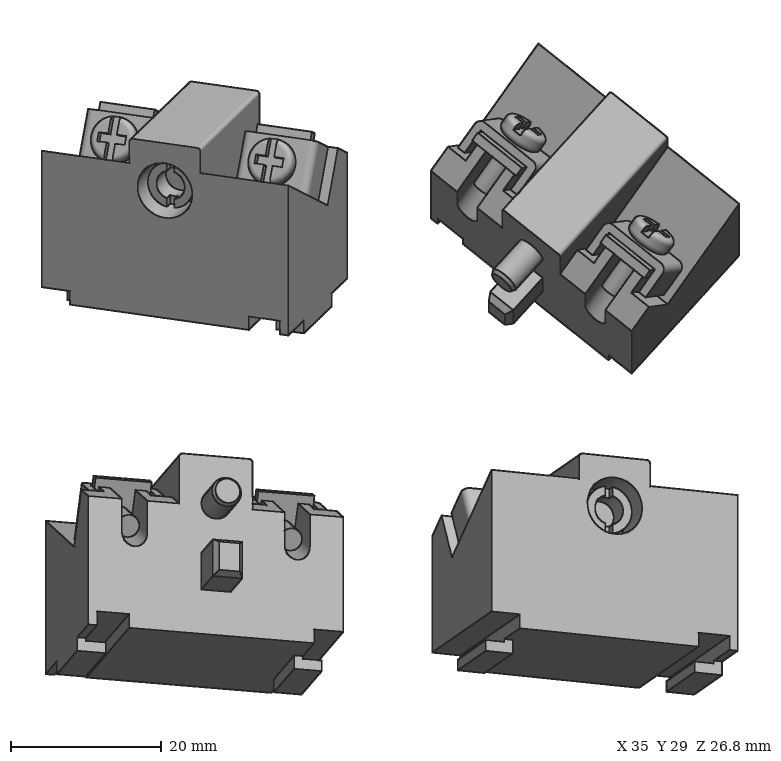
import cadquery as cq
import math

WIDTH = 35.0
DEPTH = 21.98
HEIGHT = 26.8
BASE_Z = 1.85
STEP_Z = 3.78
RIB_WIDTH = 10.08
RIB_EDGE_RADIUS = 0.5

LEFT_STEP_WIDTH = 4.02
RIGHT_NOTCH_START = 11.9
RIGHT_NOTCH_END = 16.3

CLIP_START_Y = 5.8
CLIP_LENGTH = 10.43
CLIP_FOOT_HEIGHT = 1.47
CLIP_STEM_WIDTH = WIDTH / 2 - RIGHT_NOTCH_END
LEFT_CLIP_START = -16.05
RIGHT_CLIP_START = 13.58

PEG_WIDTH = 4.02
PEG_HEIGHT = 5.1
PEG_BOTTOM_Z = 8.0
PEG_STRAIGHT = 6.02
PEG_TAPER = 1.0
PEG_TIP_INSET = 0.6

SLOPE = math.radians(29.5)
SHOULDER_FRONT_Z = 23.28
SEAT_FOOT_Y = 14.63
SEAT_HEIGHT = 7.77
TERMINAL_X = 11.15
BLOCK_WIDTH = 6.5
BLOCK_LENGTH = 2.98
CHANNEL_WIDTH = 3.5

PLATE_WIDTH = 7.7
PLATE_THICKNESS = 1.33
PLATE_RISE = 1.2

BRACKET_WIDTH = 10.4
BRACKET_HEIGHT = 7.55
BRACKET_WALL = 1.2
BRACKET_START = 0.7
BRACKET_LENGTH = 4.97
BRACKET_EDGE_RADIUS = 1.0

HEAD_DIAMETER = 6.23
HEAD_HEIGHT = 2.5
HEAD_EDGE_RADIUS = 0.75
SHANK_DIAMETER = 3.0
SHANK_START = -2.5
DRIVE_WIDTH = 1.22
DRIVE_DEPTH = 1.0
CROSS_LENGTH = 3.92

PIN_Z = 20.05
PIN_DIAMETER = 4.0
PIN_END_Y = 28.05
PIN_CHAMFER_LENGTH = 0.55
PIN_CHAMFER_INSET = 0.3
PIN_HEAD_DIAMETER = 6.45
PIN_HEAD_START_Y = 2.1
PIN_HEAD_LENGTH = 4.2
PIN_RECESS_DEPTH = 3.5
PIN_SLOT_WIDTH = 1.05
PIN_SLOT_DEPTH = 1.22
COUNTERBORE_DIAMETER = 7.77

SEAT_FOOT_Z = SHOULDER_FRONT_Z - SEAT_FOOT_Y * math.tan(SLOPE)
SEAT_TOP_Y = SEAT_FOOT_Y + SEAT_HEIGHT * math.sin(SLOPE)
SEAT_TOP_Z = SEAT_FOOT_Z + SEAT_HEIGHT * math.cos(SLOPE)
SHOULDER_REAR_Z = SEAT_TOP_Z - (DEPTH - SEAT_TOP_Y) * math.tan(SLOPE)
AXIS_Y = (SEAT_FOOT_Y + SEAT_TOP_Y) / 2
AXIS_Z = (SEAT_FOOT_Z + SEAT_TOP_Z) / 2
BRACKET_FACE = BRACKET_START + BRACKET_LENGTH
PIN_SEAT_Y = PIN_HEAD_START_Y + PIN_HEAD_LENGTH


def terminal_plane(x, distance):
    """Plane across a screw axis: local x along X, local y up off the slope, normal towards the head."""
    forward = cq.Vector(0, -math.cos(SLOPE), math.sin(SLOPE))
    return cq.Workplane(cq.Plane(cq.Vector(x, AXIS_Y, AXIS_Z) + forward * distance, (1, 0, 0), forward))


def rear_facing_plane(x, y, z):
    """Plane with its normal along +Y and its local y along Z."""
    return cq.Workplane(cq.Plane((x, y, z), (-1, 0, 0), (0, 1, 0)))


def make_core():
    half = WIDTH / 2
    outline = [
        (-half, STEP_Z),
        (-half + LEFT_STEP_WIDTH, STEP_Z),
        (-half + LEFT_STEP_WIDTH, BASE_Z),
        (RIGHT_NOTCH_START, BASE_Z),
        (RIGHT_NOTCH_START, STEP_Z),
        (RIGHT_NOTCH_END, STEP_Z),
        (RIGHT_NOTCH_END, BASE_Z),
        (half, BASE_Z),
        (half, SHOULDER_FRONT_Z),
        (-half, SHOULDER_FRONT_Z),
    ]
    core = cq.Workplane("XZ").polyline(outline).close().extrude(-DEPTH)
    rib = (
        cq.Workplane("XY", origin=(0, DEPTH / 2, STEP_Z))
        .box(RIB_WIDTH, DEPTH, HEIGHT - STEP_Z, centered=(True, True, False))
        .edges("|Y and >Z")
        .fillet(RIB_EDGE_RADIUS)
    )
    for side in (-1, 1):
        core = core.cut(make_shoulder_cut(side))
    return core.union(rib)


def make_shoulder_cut(side):
    """Space above the two slopes and the seat between them, on one side of the rib."""
    length = (WIDTH - RIB_WIDTH) / 2
    start = RIB_WIDTH / 2 if side > 0 else -WIDTH / 2
    profile = [
        (0, SHOULDER_FRONT_Z),
        (SEAT_FOOT_Y, SEAT_FOOT_Z),
        (SEAT_TOP_Y, SEAT_TOP_Z),
        (DEPTH, SHOULDER_REAR_Z),
        (DEPTH, HEIGHT),
        (0, HEIGHT),
    ]
    return cq.Workplane("YZ", origin=(start, 0, 0)).polyline(profile).close().extrude(length)


def make_block(x):
    """Block that stands out from the seat behind the terminal plate."""
    return terminal_plane(x, 0).rect(BLOCK_WIDTH, SEAT_HEIGHT).extrude(BLOCK_LENGTH)


def make_channel(x):
    """Round-bottomed channel around the screw shank, open upwards and to the rear."""
    length = DEPTH + BLOCK_LENGTH
    start = terminal_plane(x, BLOCK_LENGTH - length)
    bottom = start.circle(CHANNEL_WIDTH / 2).extrude(length)
    walls = start.center(0, SEAT_HEIGHT / 2).rect(CHANNEL_WIDTH, SEAT_HEIGHT).extrude(length)
    return bottom.union(walls)


def make_clip(foot_start, foot_end, stem_start):
    foot = cq.Workplane("XY").box(
        foot_end - foot_start, CLIP_LENGTH, CLIP_FOOT_HEIGHT, centered=False
    ).translate((foot_start, CLIP_START_Y, 0))
    stem = cq.Workplane("XY").box(
        CLIP_STEM_WIDTH, CLIP_LENGTH, BASE_Z, centered=False
    ).translate((stem_start, CLIP_START_Y, 0))
    return foot.union(stem)


def make_peg():
    shank = (
        rear_facing_plane(0, DEPTH, PEG_BOTTOM_Z + PEG_HEIGHT / 2)
        .rect(PEG_WIDTH, PEG_HEIGHT)
        .extrude(PEG_STRAIGHT)
    )
    tip = (
        shank.faces(">Y")
        .wires()
        .toPending()
        .workplane(offset=PEG_TAPER)
        .rect(PEG_WIDTH - 2 * PEG_TIP_INSET, PEG_HEIGHT - 2 * PEG_TIP_INSET)
        .loft(combine=False)
    )
    return shank.union(tip)


def make_pin_hole():
    counterbore = rear_facing_plane(0, 0, PIN_Z).circle(COUNTERBORE_DIAMETER / 2).extrude(PIN_SEAT_Y)
    bore = rear_facing_plane(0, 0, PIN_Z).circle(PIN_DIAMETER / 2).extrude(DEPTH)
    return counterbore.union(bore)


def make_housing():
    body = make_core()
    for x in (-TERMINAL_X, TERMINAL_X):
        body = body.union(make_block(x)).cut(make_channel(x))
    left_stem = -WIDTH / 2 + LEFT_STEP_WIDTH
    body = body.union(make_clip(LEFT_CLIP_START, left_stem + CLIP_STEM_WIDTH, left_stem))
    body = body.union(make_clip(RIGHT_CLIP_START, WIDTH / 2, RIGHT_NOTCH_END))
    return body.union(make_peg()).cut(make_pin_hole())


def make_plate(x):
    """Contact plate against the block, reaching above it, with a hole for the screw."""
    return (
        terminal_plane(x, BLOCK_LENGTH)
        .center(0, PLATE_RISE / 2)
        .rect(PLATE_WIDTH, SEAT_HEIGHT + PLATE_RISE)
        .extrude(PLATE_THICKNESS)
        .cut(terminal_plane(x, BLOCK_LENGTH).circle(SHANK_DIAMETER / 2).extrude(PLATE_THICKNESS))
    )


def make_bracket(x):
    """U-shaped clamp whose legs straddle the plate and the block."""
    start = terminal_plane(x, BRACKET_START)
    upright = cq.Vector(0, math.sin(SLOPE), math.cos(SLOPE))
    upright_edges = cq.selectors.ParallelDirSelector(upright)
    front_edges = cq.selectors.BoxSelector(
        (-WIDTH, 0, 0), (WIDTH, AXIS_Y - BRACKET_LENGTH / 2, HEIGHT)
    )
    outer = (
        start.rect(BRACKET_WIDTH, BRACKET_HEIGHT)
        .extrude(BRACKET_LENGTH)
        .edges(upright_edges)
        .edges(front_edges)
        .fillet(BRACKET_EDGE_RADIUS)
    )
    inner_width = BRACKET_WIDTH - 2 * BRACKET_WALL
    opening = start.rect(inner_width, BRACKET_HEIGHT).extrude(BRACKET_LENGTH - BRACKET_WALL)
    screw_hole = start.circle(SHANK_DIAMETER / 2).extrude(BRACKET_LENGTH)
    return outer.cut(opening).cut(screw_hole)


def make_screw(x):
    """Clamp screw with a rounded head, a full-width slot and a shorter cross slot."""
    head = (
        terminal_plane(x, BRACKET_FACE)
        .circle(HEAD_DIAMETER / 2)
        .extrude(HEAD_HEIGHT)
        .edges()
        .fillet(HEAD_EDGE_RADIUS)
    )
    shank = terminal_plane(x, SHANK_START).circle(SHANK_DIAMETER / 2).extrude(BRACKET_FACE - SHANK_START)
    drive_floor = terminal_plane(x, BRACKET_FACE + HEAD_HEIGHT - DRIVE_DEPTH)
    slot = drive_floor.rect(DRIVE_WIDTH, HEAD_DIAMETER).extrude(DRIVE_DEPTH)
    cross = drive_floor.rect(CROSS_LENGTH, DRIVE_WIDTH).extrude(DRIVE_DEPTH)
    return head.union(shank).cut(slot).cut(cross)


def make_pin():
    """Pin with a hollow, slotted head seated in the counterbore."""
    head_front = rear_facing_plane(0, PIN_HEAD_START_Y, PIN_Z)
    head = head_front.circle(PIN_HEAD_DIAMETER / 2).extrude(PIN_HEAD_LENGTH)
    shank = (
        rear_facing_plane(0, PIN_SEAT_Y, PIN_Z)
        .circle(PIN_DIAMETER / 2)
        .extrude(PIN_END_Y - PIN_SEAT_Y)
        .faces(">Y")
        .edges()
        .chamfer(PIN_CHAMFER_LENGTH, PIN_CHAMFER_INSET)
    )
    recess = head_front.circle(PIN_DIAMETER / 2).extrude(PIN_RECESS_DEPTH)
    slot = head_front.rect(PIN_SLOT_WIDTH, PIN_HEAD_DIAMETER).extrude(PIN_SLOT_DEPTH)
    return head.union(shank).cut(recess).cut(slot)


housing = make_housing()
pin = make_pin()
terminal_parts = []
for terminal_x in (-TERMINAL_X, TERMINAL_X):
    for make_part in (make_plate, make_bracket, make_screw):
        terminal_parts.append(make_part(terminal_x).val())

result = cq.Compound.makeCompound([housing.val(), pin.val(), *terminal_parts])